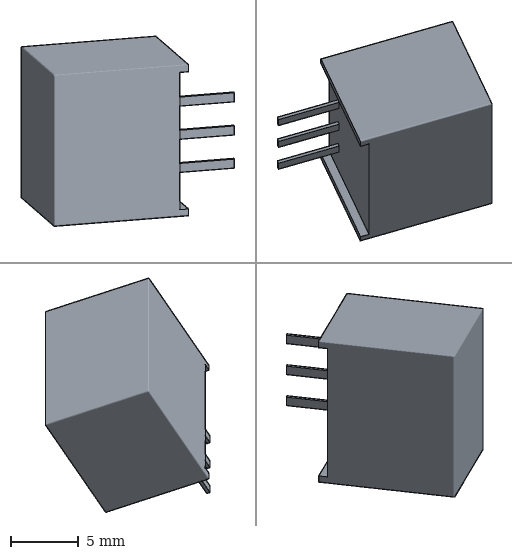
import cadquery as cq

width = 8.5
total_length = 14.5
height = 11.6

housing_length = 10.4
edge_radius = 0.1
foot_length = 0.67
foot_thickness = 0.55

pin_count = 3
pin_pitch = 2.54
pin_thickness = 0.26
pin_height = 0.7
pin_inset = 2.0
pin_row_drop = 0.051

back_face_y = housing_length - foot_length
pin_length = total_length - back_face_y
pin_x = width / 2 - pin_inset


def make_housing():
    """Solid block with rounded edges and a foot along the top and bottom of its back."""
    block = (
        cq.Workplane("XY")
        .box(width, housing_length, height, centered=(True, False, True))
        .edges("|Y or <Y")
        .fillet(edge_radius)
    )
    gap = (
        cq.Workplane("XY")
        .box(width, foot_length, height - 2 * foot_thickness, centered=(True, False, True))
        .translate((0, back_face_y, 0))
    )
    return block.cut(gap)


def make_pin(center_z):
    """Flat rectangular pin standing on the back face of the housing."""
    return (
        cq.Workplane("XY")
        .box(pin_thickness, pin_length, pin_height, centered=(True, False, True))
        .translate((pin_x, back_face_y, center_z))
    )


housing = make_housing()

pins = []
for i in range(pin_count):
    center_z = (i - (pin_count - 1) / 2) * pin_pitch - pin_row_drop
    pins.append(make_pin(center_z).val())

result = cq.Compound.makeCompound([housing.val(), *pins])